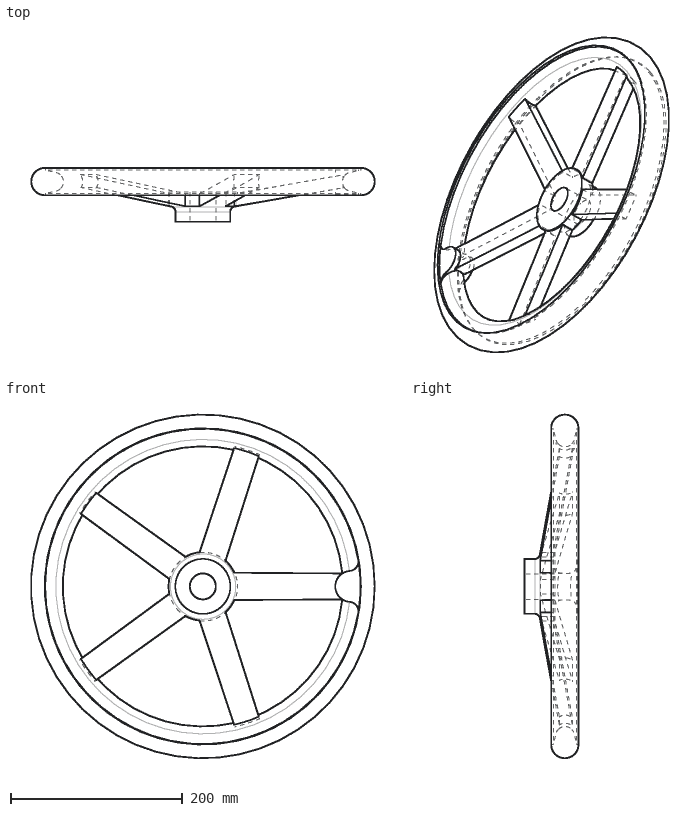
import cadquery as cq
import math


wheel_radius = 200.0
rim_bead_radius = 16.0
rim_bead_center = wheel_radius - rim_bead_radius
rim_step = 2.5
rim_flange_angle = 13.0
rim_inner_radius = 162.7
rim_root_radius = 183.3
flange_half_width = rim_bead_radius - rim_step

hub_front = -47.0
hub_nose_radius = 32.0
hub_nose_length = 12.0
hub_fillet_radius = 6.0
hub_body_radius = 40.0
hub_body_back = -12.0
bore_radius = 15.0

spoke_count = 5
spoke_rake_angle = 10.0
spoke_depth = 15.0
spoke_hub_width = 32.0
spoke_rim_width = 30.0
spoke_outer_radius = 170.0
web_inner_radius = hub_nose_radius + hub_fillet_radius
web_front = hub_front + hub_nose_length + hub_fillet_radius

boss_center = 172.0
boss_radius = 18.0
boss_blend_radius = 11.0
boss_recess = 2.0


def make_rim():
    """Half-round bead outside, narrowing flange with a rounded lip inside."""
    slope = math.radians(rim_flange_angle)
    flange_reach = rim_root_radius - rim_inner_radius
    lip_radius = flange_half_width * math.cos(slope) - flange_reach * math.sin(slope)
    lip_radius /= 1 - math.sin(slope)
    lip_center = rim_inner_radius + lip_radius
    lip_start_radius = lip_center - lip_radius * math.sin(slope)
    lip_half_width = lip_radius * math.cos(slope)
    section = (
        cq.Workplane("XY")
        .moveTo(rim_root_radius, -flange_half_width)
        .lineTo(rim_bead_center, -rim_bead_radius)
        .threePointArc((wheel_radius, 0), (rim_bead_center, rim_bead_radius))
        .lineTo(rim_root_radius, flange_half_width)
        .lineTo(lip_start_radius, lip_half_width)
        .threePointArc((rim_inner_radius, 0), (lip_start_radius, -lip_half_width))
        .close()
    )
    return section.revolve(360, (0, 0, 0), (0, 1, 0))


def make_hub_and_web():
    """Hub with a filleted nose, carrying a shallow conical web that reaches into the rim."""
    rake = math.tan(math.radians(spoke_rake_angle))
    web_front_at_rim = web_front + (spoke_outer_radius - web_inner_radius) * rake
    web_back_at_rim = web_front_at_rim + spoke_depth
    web_back_at_hub = web_back_at_rim - (spoke_outer_radius - hub_body_radius) * rake
    fillet_start = hub_front + hub_nose_length
    fillet_sag = hub_fillet_radius * (1 - math.sqrt(0.5))
    section = (
        cq.Workplane("XY")
        .moveTo(0, hub_front)
        .lineTo(hub_nose_radius, hub_front)
        .lineTo(hub_nose_radius, fillet_start)
        .threePointArc(
            (hub_nose_radius + fillet_sag, web_front - fillet_sag),
            (web_inner_radius, web_front),
        )
        .lineTo(spoke_outer_radius, web_front_at_rim)
        .lineTo(spoke_outer_radius, web_back_at_rim)
        .lineTo(hub_body_radius, web_back_at_hub)
        .lineTo(hub_body_radius, hub_body_back)
        .lineTo(0, hub_body_back)
        .close()
    )
    return section.revolve(360, (0, 0, 0), (0, 1, 0))


def make_star():
    """Star-shaped prism: the hub disc plus radial bars narrowing slightly toward the rim."""
    bar = (
        cq.Workplane("XZ")
        .moveTo(0, -spoke_hub_width / 2)
        .lineTo(web_inner_radius, -spoke_hub_width / 2)
        .lineTo(wheel_radius, -spoke_rim_width / 2)
        .lineTo(wheel_radius, spoke_rim_width / 2)
        .lineTo(web_inner_radius, spoke_hub_width / 2)
        .lineTo(0, spoke_hub_width / 2)
        .close()
        .extrude(wheel_radius, both=True)
    )
    star = cq.Workplane("XZ").circle(hub_body_radius).extrude(wheel_radius, both=True)
    for index in range(spoke_count):
        star = star.union(bar.rotate((0, 0, 0), (0, 1, 0), index * 360 / spoke_count))
    return star


def make_boss():
    """Flat-faced round boss whose sides blend into the step under the rim bead."""
    to_boss = boss_radius + boss_blend_radius
    to_axis = rim_root_radius - boss_blend_radius
    blend_x = (boss_center**2 + to_axis**2 - to_boss**2) / (2 * boss_center)
    blend_z = math.sqrt(to_axis**2 - blend_x**2)
    boss_x = boss_center + (blend_x - boss_center) * boss_radius / to_boss
    boss_z = blend_z * boss_radius / to_boss
    step_x = blend_x * rim_root_radius / to_axis
    step_z = blend_z * rim_root_radius / to_axis
    chord_x = (boss_x + step_x) / 2 - blend_x
    chord_z = (boss_z + step_z) / 2 - blend_z
    stretch = boss_blend_radius / math.hypot(chord_x, chord_z)
    middle_x = blend_x + chord_x * stretch
    middle_z = blend_z + chord_z * stretch
    outline = (
        cq.Workplane("XZ")
        .moveTo(boss_x, -boss_z)
        .threePointArc((boss_center - boss_radius, 0), (boss_x, boss_z))
        .threePointArc((middle_x, middle_z), (step_x, step_z))
        .threePointArc((rim_root_radius, 0), (step_x, -step_z))
        .threePointArc((middle_x, -middle_z), (boss_x, -boss_z))
        .close()
    )
    return outline.extrude(rim_bead_radius - boss_recess, both=True)


def make_bore():
    return cq.Workplane("XZ").circle(bore_radius).extrude(wheel_radius, both=True)


hub_and_spokes = make_hub_and_web().intersect(make_star())
wheel = make_rim().union(hub_and_spokes).union(make_boss())
result = wheel.cut(make_bore())